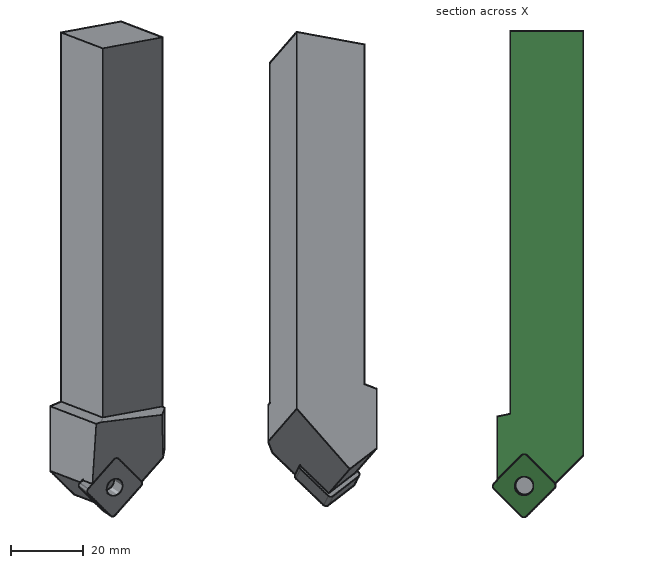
import cadquery as cq
import math


total_length = 133.8
shank_width = 20.1

head_width = 24.3
head_depth = 23.7
shoulder_height = 28.8
shoulder_slope = math.tan(math.radians(12))
side_slope = math.tan(math.radians(6))
rear_corner_chamfer = 3.2
rear_cut_height = 17.3
head_tip_depth = 15.7

insert_side = 12.7
insert_thickness = 4.8
insert_corner_radius = 1.0
insert_hole_diameter = 5.0
nose_depth = 16.6

widest_y = -rear_corner_chamfer
widest_z = shoulder_height - shoulder_slope * (head_width - shank_width)
side_normal = cq.Vector(1, -side_slope, -side_slope).normalized()


def side_face_x(y, z):
    """X of the leaning side face at the given Y and Z."""
    return head_width + side_slope * (y - widest_y) + side_slope * (z - widest_z)


def make_head():
    """Pointed head block with a sloping shoulder and a leaning side face."""
    head_tip_height = rear_cut_height - head_tip_depth
    front_cut_height = head_tip_height + head_depth - head_tip_depth
    front_shoulder = shoulder_height - shoulder_slope * (head_depth - shank_width)
    profile = [
        (0, shoulder_height),
        (0, rear_cut_height),
        (-head_tip_depth, head_tip_height),
        (-head_depth, front_cut_height),
        (-head_depth, front_shoulder),
        (-shank_width, shoulder_height),
    ]
    block = cq.Workplane("YZ").polyline(profile).close().extrude(head_width)

    side_limits = [
        (0, 0),
        (head_width, 0),
        (head_width, widest_z),
        (shank_width, shoulder_height),
        (0, shoulder_height),
    ]
    block = block.intersect(cq.Workplane("XZ").polyline(side_limits).close().extrude(head_depth))
    block = block.intersect(make_plan_limit())

    side_plane = cq.Plane(
        origin=(head_width, widest_y, widest_z), xDir=(0, 1, -1), normal=side_normal.toTuple()
    )
    waste_size = 2 * total_length
    return block.cut(cq.Workplane(side_plane).rect(waste_size, waste_size).extrude(head_width))


def make_plan_limit():
    """Vertical prism that chamfers the rear side corner of the head."""
    outline = [
        (0, 0),
        (head_width - rear_corner_chamfer, 0),
        (head_width, -rear_corner_chamfer),
        (head_width, -head_depth),
        (0, -head_depth),
    ]
    return cq.Workplane("XY").polyline(outline).close().extrude(shoulder_height)


def make_shank():
    """Square bar rising from the head."""
    length = total_length - shoulder_height
    return (
        cq.Workplane("XY", origin=(0, 0, shoulder_height))
        .rect(shank_width, -shank_width, centered=False)
        .extrude(length)
    )


def make_insert_blank():
    """Square plate with rounded corners, its outer face flush with the side face of the head."""
    nose_height = insert_corner_radius * math.sqrt(1 - side_normal.z ** 2)
    nose_center = (side_face_x(-nose_depth, nose_height), -nose_depth, nose_height)
    face = cq.Plane(origin=nose_center, xDir=(0, 1, -1), normal=side_normal.toTuple())
    center_offset = insert_side / 2 - insert_corner_radius
    return (
        cq.Workplane(face)
        .center(-center_offset, center_offset)
        .rect(insert_side, insert_side)
        .extrude(-insert_thickness)
        .edges(cq.selectors.ParallelDirSelector(side_normal))
        .fillet(insert_corner_radius)
    )


def make_insert(blank):
    """Insert plate with its central through hole."""
    return (
        blank.faces(cq.selectors.DirectionMinMaxSelector(side_normal))
        .workplane(centerOption="CenterOfMass")
        .hole(insert_hole_diameter)
    )


insert_blank = make_insert_blank()
holder = make_shank().union(make_head()).cut(insert_blank)
cutting_insert = make_insert(insert_blank)

result = cq.Compound.makeCompound([holder.val(), cutting_insert.val()])